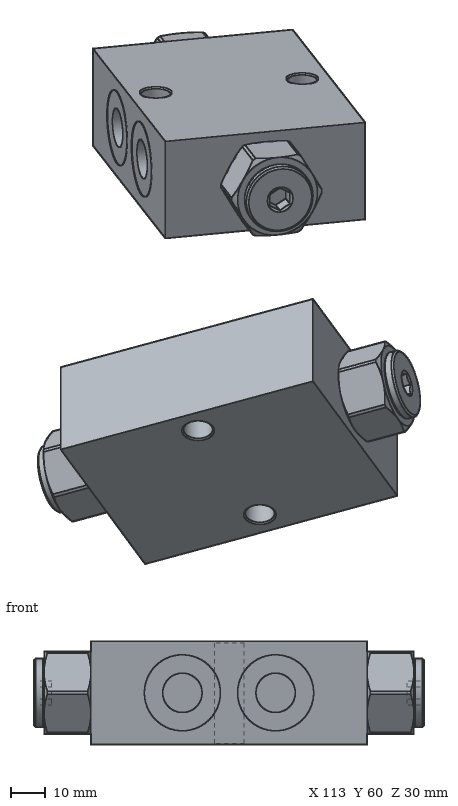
import cadquery as cq
import math

block_length = 80.0
block_width = 60.0
block_height = block_width / 2

mount_diameter = 8.5
mount_spacing = 44.0
mount_chamfer = 0.5

port_spacing = 27.0
port_diameter = 11.4
port_depth = block_width / 2
spotface_diameter = 22.0
spotface_depth = 0.2

overall_length = 113.0
hex_across_flats = 24.0
hex_corner_diameter = 27.1
hex_length = 13.6
hex_chamfer_angle = 30.0
collar_diameter = 20.0
collar_chamfer = 0.6
neck_diameter = 19.2
neck_length = 0.3

socket_across_flats = 6.0
socket_depth = 5.0
countersink_diameter = 7.7
countersink_angle = 30.0

plug_length = (overall_length - block_length) / 2


def hexagon_diameter(across_flats):
    """Corner-to-corner diameter of a regular hexagon."""
    return across_flats / math.cos(math.radians(30))


def make_block():
    """Rectangular body with its mounting holes and ports."""
    block = cq.Workplane("XY").box(block_length, block_width, block_height)
    block = (
        block.faces(">Z").workplane()
        .rarray(1.1, mount_spacing, 1, 2)
        .hole(mount_diameter)
    )
    block = block.edges("%CIRCLE").chamfer(mount_chamfer)
    return (
        block.faces("<Y").workplane(centerOption="CenterOfBoundBox")
        .rarray(port_spacing, 1.1, 2, 1)
        .cboreHole(port_diameter, spotface_diameter, spotface_depth, port_depth)
    )


def make_hexagon():
    """Plug hexagon along +X, its corners turned down and chamfered at both ends."""
    hexagon = (
        cq.Workplane("YZ")
        .polygon(6, hexagon_diameter(hex_across_flats))
        .extrude(hex_length)
    )
    corner_radius = hex_corner_diameter / 2
    face_radius = hex_across_flats / 2
    chamfer_length = (corner_radius - face_radius) * math.tan(math.radians(hex_chamfer_angle))
    turned_envelope = (
        cq.Workplane("XY")
        .polyline([
            (0, 0),
            (0, face_radius),
            (chamfer_length, corner_radius),
            (hex_length - chamfer_length, corner_radius),
            (hex_length, face_radius),
            (hex_length, 0),
        ])
        .close()
        .revolve(360, (0, 0, 0), (1, 0, 0))
    )
    return hexagon.intersect(turned_envelope)


def make_socket():
    """Hexagonal key socket with a shallow countersink, cut from the plug tip."""
    outer_radius = countersink_diameter / 2
    inner_radius = socket_across_flats / 2
    countersink_depth = (outer_radius - inner_radius) * math.tan(math.radians(countersink_angle))
    countersink = (
        cq.Workplane("XY")
        .polyline([
            (plug_length, 0),
            (plug_length, outer_radius),
            (plug_length - countersink_depth, inner_radius),
            (plug_length - countersink_depth, 0),
        ])
        .close()
        .revolve(360, (0, 0, 0), (1, 0, 0))
    )
    socket = (
        cq.Workplane("YZ", origin=(plug_length - socket_depth, 0, 0))
        .transformed(rotate=(0, 0, 90))
        .polygon(6, hexagon_diameter(socket_across_flats))
        .extrude(socket_depth)
    )
    return socket.union(countersink)


def make_plug():
    """Complete plug pointing along +X from the origin."""
    collar_start = hex_length + neck_length
    neck = cq.Workplane("YZ").circle(neck_diameter / 2).extrude(collar_start)
    collar = (
        cq.Workplane("YZ", origin=(collar_start, 0, 0))
        .circle(collar_diameter / 2)
        .extrude(plug_length - collar_start)
        .faces(">X").chamfer(collar_chamfer)
    )
    return make_hexagon().union(neck).union(collar).cut(make_socket())


right_plug = make_plug().translate((block_length / 2, 0, 0))
left_plug = right_plug.mirror("YZ")

result = make_block().union(right_plug).union(left_plug)